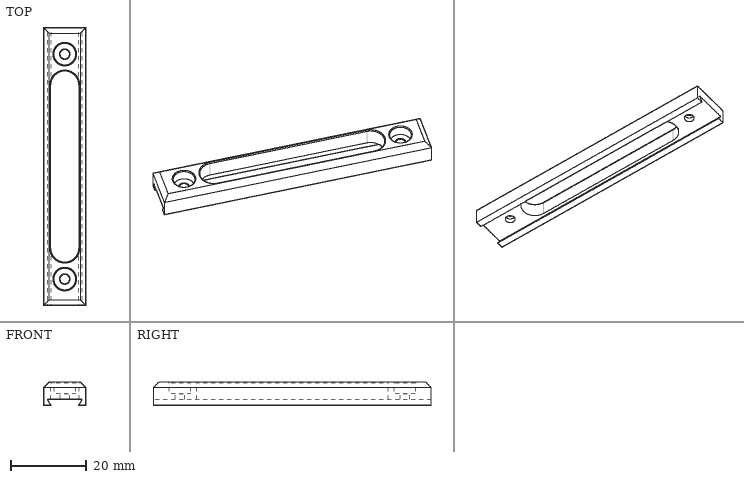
import cadquery as cq
import math

width = 11.25
length = 74.0
height = 6.2
top_bevel = 1.5

channel_depth = 1.55
channel_mouth = 7.4
channel_angle = 60.0
channel_roof = channel_mouth + 2 * channel_depth / math.tan(math.radians(channel_angle))

slot_width = 7.5
slot_length = 50.9
edge_break = 0.26

hole_offset = 30.0
hole_diameter = 2.5
hole_mouth_diameter = 2.8
bore_diameter = 5.8
bore_depth = 3.0
bore_floor = height - bore_depth


def make_bar():
    """Rectangular bar with its four top edges bevelled."""
    bar = cq.Workplane("XY").box(width, length, height, centered=(True, True, False))
    return bar.faces(">Z").edges().chamfer(top_bevel)


def make_channel():
    """Dovetail cutter running the full length of the bar."""
    profile = [
        (-channel_mouth / 2, 0),
        (channel_mouth / 2, 0),
        (channel_roof / 2, channel_depth),
        (-channel_roof / 2, channel_depth),
    ]
    return cq.Workplane("XZ").polyline(profile).close().extrude(length / 2, both=True)


def make_slot():
    """Round-ended window cutter that flares at the top face."""
    body = cq.Workplane("XY").slot2D(slot_length, slot_width, 90).extrude(height)
    flare = (
        cq.Workplane("XY")
        .workplane(offset=height)
        .slot2D(slot_length + 2 * edge_break, slot_width + 2 * edge_break, 90)
        .extrude(-edge_break, taper=45)
    )
    return body.union(flare)


def make_screw_hole(y):
    """Revolved cutter: through hole, counterbore and a chamfer at each mouth."""
    hole_radius = hole_diameter / 2
    mouth_radius = hole_mouth_diameter / 2
    bore_radius = bore_diameter / 2
    profile = [
        (0, 0),
        (hole_radius, 0),
        (hole_radius, bore_floor - (mouth_radius - hole_radius)),
        (mouth_radius, bore_floor),
        (bore_radius, bore_floor),
        (bore_radius, height - edge_break),
        (bore_radius + edge_break, height),
        (0, height),
    ]
    cutter = cq.Workplane("XZ").polyline(profile).close().revolve(360, (0, 0), (0, 1))
    return cutter.translate((0, y, 0))


result = make_bar().cut(make_channel()).cut(make_slot())
for hole_y in (-hole_offset, hole_offset):
    result = result.cut(make_screw_hole(hole_y))
result = result.translate((0, 0, -height / 2))